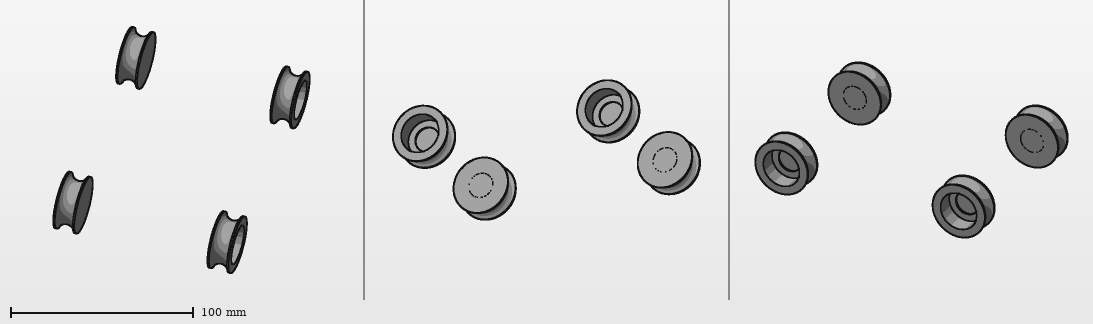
import cadquery as cq

WHEEL_DIAMETER = 32.0
WHEEL_WIDTH = 12.2
RIM_WIDTH = 1.0
GROOVE_DEPTH = 3.7

RECESS_DIAMETER = 22.0
RECESS_DEPTH = 10.5
STEP_DIAMETER = 14.0
STEP_DEPTH = 1.0

OVERALL_X = 101.0
OVERALL_Y = 140.5
CENTER_X = (OVERALL_X - WHEEL_WIDTH) / 2
CENTER_Y = (OVERALL_Y - WHEEL_DIAMETER) / 2


def make_wheel():
    """Grooved wheel on the X axis, centred on the origin, recess facing -X."""
    half_width = WHEEL_WIDTH / 2
    rim_radius = WHEEL_DIAMETER / 2
    recess_radius = RECESS_DIAMETER / 2
    step_radius = STEP_DIAMETER / 2
    groove_edge = half_width - RIM_WIDTH
    recess_floor = -half_width + RECESS_DEPTH
    step_floor = recess_floor + STEP_DEPTH

    section = (
        cq.Workplane("XY")
        .moveTo(-half_width, recess_radius)
        .lineTo(-half_width, rim_radius)
        .lineTo(-groove_edge, rim_radius)
        .threePointArc((0, rim_radius - GROOVE_DEPTH), (groove_edge, rim_radius))
        .lineTo(half_width, rim_radius)
        .lineTo(half_width, 0)
        .lineTo(step_floor, 0)
        .lineTo(step_floor, step_radius)
        .lineTo(recess_floor, step_radius)
        .lineTo(recess_floor, recess_radius)
        .close()
    )
    return section.revolve(360, (0, 0, 0), (1, 0, 0))


def make_wheels():
    """Two wheels on each side, with every recess facing outboard."""
    left_wheel = make_wheel()
    right_wheel = left_wheel.mirror("YZ")
    wheels = []
    for y in (-CENTER_Y, CENTER_Y):
        wheels.append(left_wheel.translate((-CENTER_X, y, 0)).val())
        wheels.append(right_wheel.translate((CENTER_X, y, 0)).val())
    return wheels


result = cq.Compound.makeCompound([*make_wheels()])